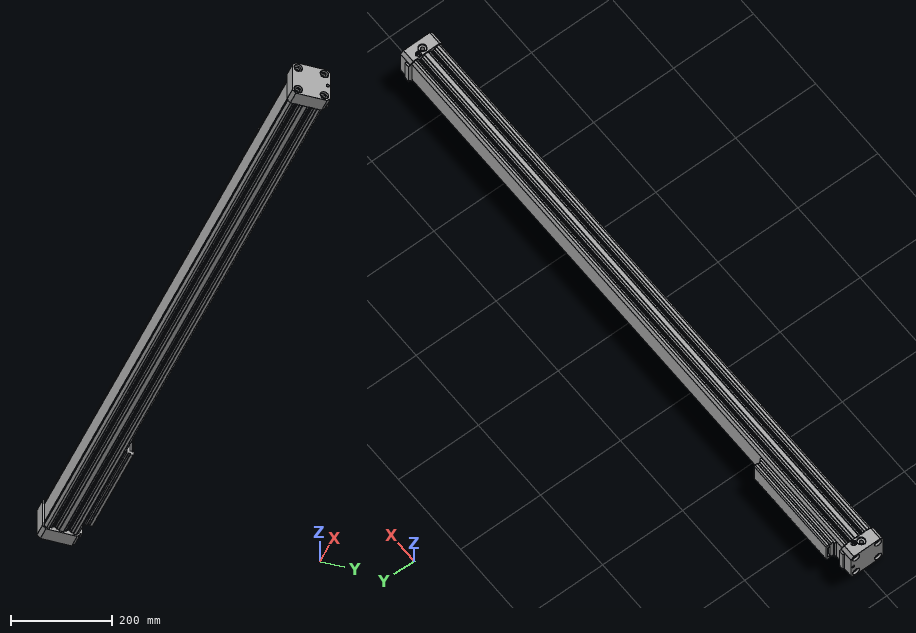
import cadquery as cq

LENGTH = 1450.0
LEFT_END = -LENGTH / 2
OVERALL_Y = 99.0
CAP_SIDE = 80.0
CAP_LENGTH = 32.0
CAP_CHAMFER = 7.0
CAP_BACK = -CAP_SIDE / 2
CAP_FRONT = 40.0
TUBE_UNDERSIZE = 6.5
TUBE_SIDE = CAP_SIDE - TUBE_UNDERSIZE
TUBE_CHAMFER = 5.4
TUBE_LENGTH = LENGTH - 2 * CAP_LENGTH
TUBE_END = TUBE_LENGTH / 2

PANEL_WIDTH = 50.0
PANEL_DEPTH = 1.0

SLOT_OFFSET = 15.2
SLOT_WIDTH = 20.0
SLOT_STEP_DEPTH = 3.0
SLOT_NECK_WIDTH = 10.0
SLOT_NECK_DEPTH = 6.0
SLOT_FLOOR_WIDTH = 3.0
SLOT_FLOOR_DEPTH = 9.0
SLOT_LEVELS = (
    (SLOT_WIDTH, SLOT_STEP_DEPTH),
    (SLOT_NECK_WIDTH, SLOT_NECK_DEPTH),
    (SLOT_FLOOR_WIDTH, SLOT_FLOOR_DEPTH),
)

TAB_LENGTH = 12.0
TAB_WIDTH = 61.0
TAB_HEIGHT = 5.0

SCREW_OFFSET = 28.0
SCREW_HEAD_DIAMETER = 17.0
SCREW_HEAD_DEPTH = 6.0
SCREW_SOCKET_DIAMETER = 10.5
SCREW_SOCKET_DEPTH = 12.0
SCREW_BORE_DIAMETER = 4.5
SCREW_BORE_DEPTH = 17.0
SCREW_LEVELS = (
    (SCREW_HEAD_DIAMETER, SCREW_HEAD_DEPTH),
    (SCREW_SOCKET_DIAMETER, SCREW_SOCKET_DEPTH),
    (SCREW_BORE_DIAMETER, SCREW_BORE_DEPTH),
)

PIN_HOLE_DIAMETER = 6.0
PIN_HOLE_OFFSET = 35.0
PIN_HOLE_DEPTH = 7.0

PORT_DIAMETER = 17.0
PORT_STEP_DEPTH = 5.0
PORT_INNER_DIAMETER = 8.0
PORT_DEPTH = 17.0
PORT_FROM_END = 19.0
PORT_LEVELS = (
    (PORT_DIAMETER, PORT_STEP_DEPTH),
    (PORT_INNER_DIAMETER, PORT_DEPTH),
)

VALVE_DIAMETER = 11.5
VALVE_STEP_DEPTH = 5.0
VALVE_INNER_DIAMETER = 6.0
VALVE_DEPTH = 9.0
VALVE_FROM_END = 25.0
VALVE_Y = 15.0
VALVE_LEVELS = (
    (VALVE_DIAMETER, VALVE_STEP_DEPTH),
    (VALVE_INNER_DIAMETER, VALVE_DEPTH),
)

CARRIAGE_TOP = CAP_BACK + OVERALL_Y
CARRIAGE_START = -668.0
CARRIAGE_LENGTH = 232.0
CARRIAGE_WIDTH = 55.0
CARRIAGE_CHAMFER = 3.0
CARRIAGE_CENTRE = CARRIAGE_START + CARRIAGE_LENGTH / 2
CARRIAGE_END = CARRIAGE_START + CARRIAGE_LENGTH
CARRIAGE_GROOVE_Y = 48.0
CARRIAGE_GROOVE_WIDTH = 5.0
CARRIAGE_GROOVE_DEPTH = 3.0
END_SLOT_Y = 52.0
END_SLOT_WIDTH = 6.0
END_SLOT_LENGTH = 35.0
END_SLOT_DEPTH = 5.0
FLANGE_OVERHANG = 5.0
FLANGE_HEIGHT = 5.0
FLANGE_WIDTH = 57.0


def box_between(x_start, x_end, y_start, y_end, width):
    """Block between two X and two Y positions, centred on Z = 0."""
    return (
        cq.Workplane("XY")
        .box(x_end - x_start, y_end - y_start, width, centered=(False, False, True))
        .translate((x_start, y_start, 0))
    )


def make_tube():
    tube = cq.Workplane("XY").box(TUBE_LENGTH, TUBE_SIDE, TUBE_SIDE).edges("|X").chamfer(TUBE_CHAMFER)
    half = TUBE_SIDE / 2
    tube = tube.cut(box_between(-TUBE_END, TUBE_END, -half, -half + PANEL_DEPTH, PANEL_WIDTH))
    for face in (-1, 1):
        for side in (-1, 1):
            for width, depth in SLOT_LEVELS:
                slot = cq.Workplane("XY").box(TUBE_LENGTH, width, 2 * depth)
                tube = tube.cut(slot.translate((0, side * SLOT_OFFSET, face * half)))
    return tube


def end_hole(y, z, diameter, depth):
    """Cutter for a round hole in the outer end of the left cap."""
    return cq.Workplane("YZ", origin=(LEFT_END, y, z)).circle(diameter / 2).extrude(depth)


def top_hole(from_end, y, diameter, depth):
    """Cutter for a round hole in the top of the left cap."""
    origin = (LEFT_END + from_end, y, CAP_SIDE / 2)
    return cq.Workplane("XY", origin=origin).circle(diameter / 2).extrude(-depth)


def make_left_cap():
    cap = box_between(LEFT_END, -TUBE_END, CAP_BACK, CAP_FRONT, CAP_SIDE).edges("|X").chamfer(CAP_CHAMFER)
    cap = cap.union(box_between(-TUBE_END - TAB_LENGTH, -TUBE_END, 0, CAP_FRONT + TAB_HEIGHT, TAB_WIDTH))

    for y in (-SCREW_OFFSET, SCREW_OFFSET):
        for z in (-SCREW_OFFSET, SCREW_OFFSET):
            for diameter, depth in SCREW_LEVELS:
                cap = cap.cut(end_hole(y, z, diameter, depth))
    cap = cap.cut(end_hole(PIN_HOLE_OFFSET, 0, PIN_HOLE_DIAMETER, PIN_HOLE_DEPTH))

    for diameter, depth in PORT_LEVELS:
        cap = cap.cut(top_hole(PORT_FROM_END, 0, diameter, depth))
    for diameter, depth in VALVE_LEVELS:
        cap = cap.cut(top_hole(VALVE_FROM_END, VALVE_Y, diameter, depth))
    return cap


def make_carriage():
    base = TUBE_SIDE / 2
    block = box_between(CARRIAGE_START, CARRIAGE_END, base, CARRIAGE_TOP, CARRIAGE_WIDTH)
    block = block.edges("|X and >Y").chamfer(CARRIAGE_CHAMFER)

    groove = cq.Workplane("XY").box(CARRIAGE_LENGTH, CARRIAGE_GROOVE_WIDTH, 2 * CARRIAGE_GROOVE_DEPTH)
    for z in (-CARRIAGE_WIDTH / 2, CARRIAGE_WIDTH / 2):
        block = block.cut(groove.translate((CARRIAGE_CENTRE, CARRIAGE_GROOVE_Y, z)))
    end_slot = cq.Workplane("XY").box(2 * END_SLOT_DEPTH, END_SLOT_WIDTH, END_SLOT_LENGTH)
    for x in (CARRIAGE_START, CARRIAGE_END):
        block = block.cut(end_slot.translate((x, END_SLOT_Y, 0)))

    flange_start = CARRIAGE_START - FLANGE_OVERHANG
    flange_end = CARRIAGE_END + FLANGE_OVERHANG
    return block.union(box_between(flange_start, flange_end, base, base + FLANGE_HEIGHT, FLANGE_WIDTH))


tube = make_tube()
left_cap = make_left_cap()
right_cap = left_cap.mirror("YZ")
carriage = make_carriage()

result = cq.Compound.makeCompound([tube.val(), left_cap.val(), right_cap.val(), carriage.val()])